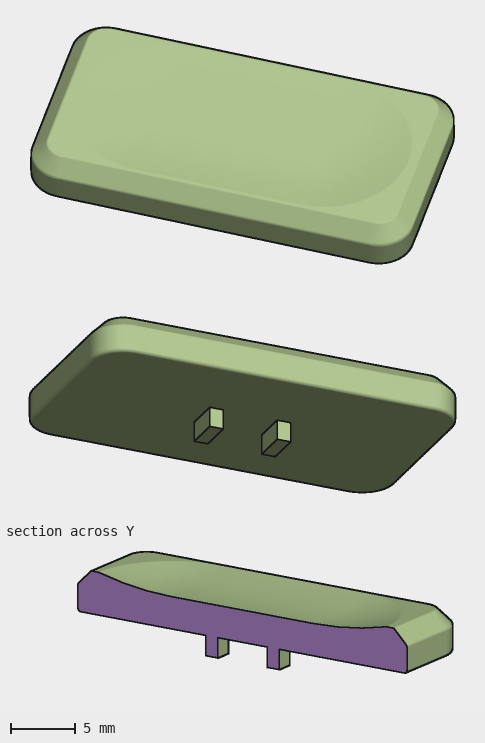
import math

import cadquery as cq

length = 30.71
width = 16.55
body_height = 3.5
corner_radius = 2.75
chamfer_size = 1.25
edge_radius = 0.3

dish_width = 13.6
dish_end_spacing = 13.2
dish_depth = 0.85
dish_length = dish_end_spacing + dish_width
dish_floor = body_height - dish_depth

peg_thickness = 1.15
peg_width = 2.95
peg_spacing = 5.72
peg_length = 1.64

level_tolerance = 0.01


def edges_at_level(level, span_x, span_y):
    """Selector for edges centred at a height, within a rectangle about the Z axis."""
    return cq.selectors.BoxSelector(
        (-span_x / 2, -span_y / 2, level - level_tolerance),
        (span_x / 2, span_y / 2, level + level_tolerance),
    )


def make_body():
    """Rounded plate with a chamfered top rim and all rim edges softened."""
    plate = (
        cq.Workplane("XY")
        .rect(length, width)
        .extrude(body_height)
        .edges("|Z")
        .fillet(corner_radius)
        .faces(">Z")
        .chamfer(chamfer_size)
    )
    chamfer_foot = edges_at_level(body_height - chamfer_size, 2 * length, 2 * width)
    plate = plate.edges(chamfer_foot).fillet(edge_radius)
    plate = plate.faces(">Z").edges().fillet(edge_radius)
    return plate.faces("<Z").edges().fillet(edge_radius)


def make_dish():
    """Cutter for the dish: a cylinder segment between two spherical caps."""
    half_width = dish_width / 2
    dish_radius = (half_width**2 + dish_depth**2) / (2 * dish_depth)
    arc_y = half_width / 2
    arc_z = dish_floor + dish_radius - math.sqrt(dish_radius**2 - arc_y**2)

    cap = (
        cq.Workplane("YZ")
        .moveTo(0, dish_floor)
        .threePointArc((arc_y, arc_z), (half_width, body_height))
        .lineTo(0, body_height)
        .close()
        .revolve(360, (0, 0, 0), (0, 1, 0))
    )
    dish = (
        cq.Workplane("YZ")
        .moveTo(-half_width, body_height)
        .threePointArc((0, dish_floor), (half_width, body_height))
        .close()
        .extrude(dish_end_spacing / 2, both=True)
    )
    for side in (-1, 1):
        dish = dish.union(cap.translate((side * dish_end_spacing / 2, 0, 0)))
    return dish


def soften_dish_rim(dished_body):
    """Round the edge where the dish meets the flat top face."""
    search_margin = 2 * level_tolerance
    dish_rim = edges_at_level(body_height, dish_length + search_margin, dish_width + search_margin)
    return dished_body.edges(dish_rim).fillet(edge_radius)


def make_pegs():
    """Two rectangular tabs hanging from the underside."""
    return (
        cq.Workplane("XY")
        .pushPoints([(-peg_spacing / 2, 0), (peg_spacing / 2, 0)])
        .rect(peg_thickness, peg_width)
        .extrude(-peg_length)
    )


dished_body = soften_dish_rim(make_body().cut(make_dish()))
result = dished_body.union(make_pegs())